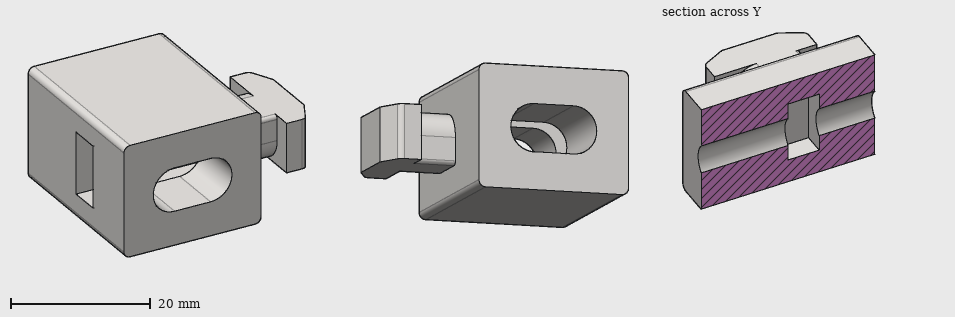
import cadquery as cq

BODY_LENGTH = 28.0
BODY_DEPTH = 22.5
BODY_HEIGHT = 18.0
BODY_EDGE_RADIUS = 1.0

SLOT_LENGTH = 12.9
SLOT_HEIGHT = 7.0

BOLT_OFFSET = 2.5

POCKET_WIDTH = 5.0
POCKET_HEIGHT = 10.0
POCKET_DEPTH = 20.0

BOLT_THICKNESS = 8.0
NECK_WIDTH = 11.0
NECK_LENGTH = 6.0
NECK_LARGE_RADIUS = BOLT_THICKNESS / 2
NECK_SMALL_RADIUS = 0.6
HEAD_WIDTH = 16.5
HEAD_LENGTH = 5.0
HEAD_TIP_WIDTH = 9.0
HEAD_SHOULDER_LENGTH = 3.125
HEAD_CORNER_RADIUS = 1.0

BODY_BACK = BODY_DEPTH / 2
BODY_FRONT = -BODY_DEPTH / 2


def make_body():
    block = cq.Workplane("XY").box(BODY_LENGTH, BODY_DEPTH, BODY_HEIGHT)
    return block.edges("|X").fillet(BODY_EDGE_RADIUS)


def make_slot():
    slot = cq.Workplane("YZ").slot2D(SLOT_LENGTH, SLOT_HEIGHT)
    return slot.extrude(BODY_LENGTH / 2, both=True)


def make_pocket():
    pocket = cq.Workplane("XY").box(POCKET_WIDTH, POCKET_DEPTH, POCKET_HEIGHT)
    return pocket.translate((BOLT_OFFSET, BODY_FRONT + POCKET_DEPTH / 2, 0))


def make_neck():
    """Neck with two large and two small rounded corners, each pair diagonally opposite."""
    neck = cq.Workplane("XY").box(NECK_WIDTH, NECK_LENGTH, BOLT_THICKNESS)
    corner_radii = {
        (-1, 1): NECK_LARGE_RADIUS,
        (1, -1): NECK_LARGE_RADIUS,
        (1, 1): NECK_SMALL_RADIUS,
        (-1, -1): NECK_SMALL_RADIUS,
    }
    for (x_side, z_side), radius in corner_radii.items():
        corner = (x_side * NECK_WIDTH / 2, 0, z_side * BOLT_THICKNESS / 2)
        neck = neck.edges(cq.NearestToPointSelector(corner)).fillet(radius)
    return neck.translate((BOLT_OFFSET, BODY_BACK + NECK_LENGTH / 2, 0))


def make_head():
    """Hammer head whose sides slope in towards the tip from rounded shoulders."""
    half_width = HEAD_WIDTH / 2
    half_tip = HEAD_TIP_WIDTH / 2
    outline = [
        (-half_width, 0),
        (half_width, 0),
        (half_width, HEAD_SHOULDER_LENGTH),
        (half_tip, HEAD_LENGTH),
        (-half_tip, HEAD_LENGTH),
        (-half_width, HEAD_SHOULDER_LENGTH),
    ]
    head = cq.Workplane("XY").polyline(outline).close().extrude(BOLT_THICKNESS / 2, both=True)
    for x_side in (-1, 1):
        shoulder = (x_side * half_width, HEAD_SHOULDER_LENGTH, 0)
        head = head.edges(cq.NearestToPointSelector(shoulder)).fillet(HEAD_CORNER_RADIUS)
    return head.translate((BOLT_OFFSET, BODY_BACK + NECK_LENGTH, 0))


body = make_body().cut(make_slot()).cut(make_pocket())
result = body.union(make_neck()).union(make_head())